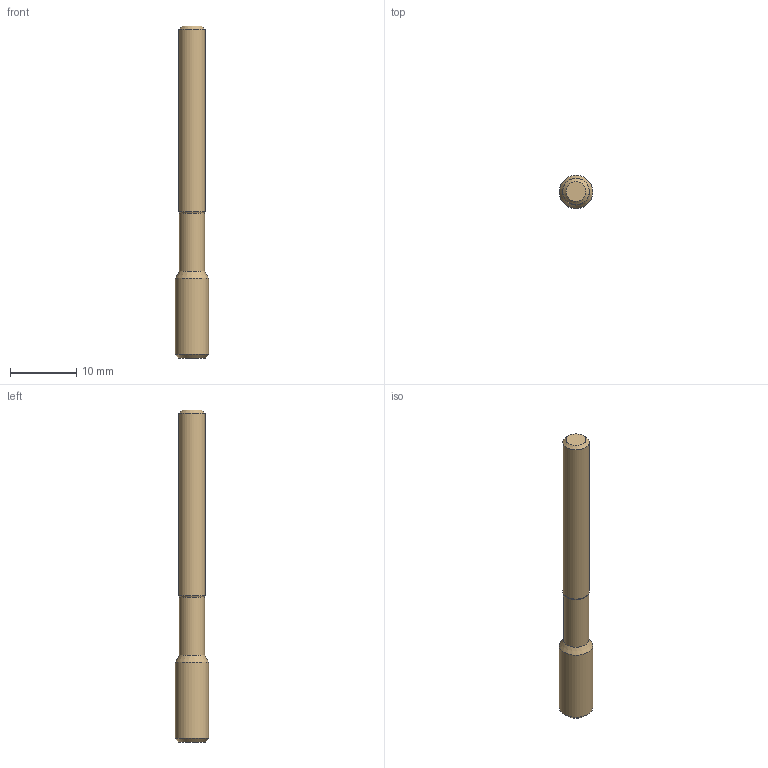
import math

import cadquery as cq

total_length = 50.0

head_diameter = 5.02
head_chamfer = 0.55
head_top = 12.0

neck_diameter = 3.8

shank_diameter = 4.0
shank_bottom = 22.0
tip_chamfer = 0.5

step_angle = math.radians(30)

head_radius = head_diameter / 2
neck_radius = neck_diameter / 2
shank_radius = shank_diameter / 2
neck_bottom = head_top + (head_radius - neck_radius) / math.tan(step_angle)
neck_top = shank_bottom - (shank_radius - neck_radius) / math.tan(step_angle)


def turned_pin():
    """Revolve the half profile, given as (radius, height) points from bottom to top."""
    half_profile = [
        (0, 0),
        (head_radius - head_chamfer, 0),
        (head_radius, head_chamfer),
        (head_radius, head_top),
        (neck_radius, neck_bottom),
        (neck_radius, neck_top),
        (shank_radius, shank_bottom),
        (shank_radius, total_length - tip_chamfer),
        (shank_radius - tip_chamfer, total_length),
        (0, total_length),
    ]
    return cq.Workplane("YZ").polyline(half_profile).close().revolve(360, (0, 0), (0, 1))


result = turned_pin()